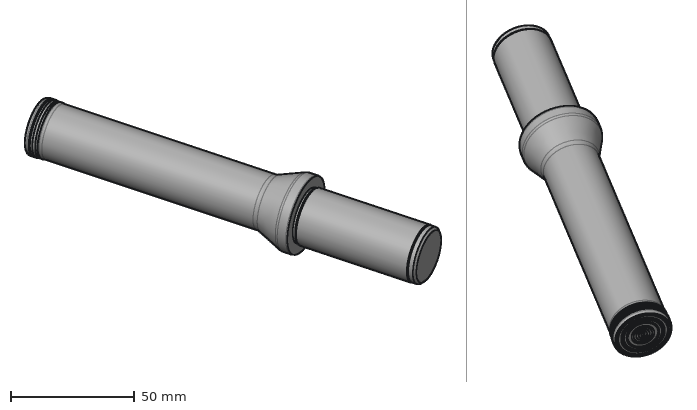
import cadquery as cq

total_length = 178.0
tip_length = 3.7

tip_radius = 25.0 / 2
shank_radius = tip_radius
land_radius = 24.5 / 2
neck_radius = 24.0 / 2
flange_radius = 34.0 / 2

tip_round_length = 1.2
tip_round_height = 0.7
tip_round_bulge = 0.2
rim_groove_start = 2.1
rim_groove_end = 2.7
rim_groove_depth = 0.2
ring_depth = 0.2
ring_grooves = [(0.7, 1.8), (2.8, 4.0), (4.8, 6.4), (7.0, 8.0), (8.7, 9.3), (10.5, 11.0)]

land_groove_start = 5.0
land_groove_end = 6.0
land_end = 6.5
neck_start = 7.8

flare_start = 104.0
flare_length = 2.1
flare_mid_drop = 0.2
cone_start_radius = 12.5
flange_start = 117.5
flange_round_length = 1.0
flange_round_height = 0.4
flange_round_bulge = 0.12
flange_end = 122.1
flange_chamfer_length = 0.7
flange_chamfer_height = 0.2

undercut_end = 123.2
undercut_taper = 0.7
end_step_start = 174.3
end_step_taper = 0.5
end_chamfer = 1.0


def revolve_about_x(profile):
    """Turn a closed half profile, drawn as (x, radius), around the X axis."""
    return profile.close().revolve(360, (0, 0, 0), (1, 0, 0))


def ring_groove(inner_radius, outer_radius):
    """Ring of material removed from the front face of the tip."""
    face = cq.Workplane("YZ").circle(outer_radius).circle(inner_radius)
    return face.extrude(ring_depth)


def make_tip():
    """Round-edged cutting disc with a rim groove and concentric grooves in its front face."""
    round_mid = (
        tip_round_length / 2 - tip_round_bulge / 2,
        tip_radius - tip_round_height / 2 + tip_round_bulge,
    )
    profile = (
        cq.Workplane("XY")
        .moveTo(0, 0)
        .lineTo(0, tip_radius - tip_round_height)
        .threePointArc(round_mid, (tip_round_length, tip_radius))
        .lineTo(rim_groove_start, tip_radius)
        .lineTo(rim_groove_start, tip_radius - rim_groove_depth)
        .lineTo(rim_groove_end, tip_radius - rim_groove_depth)
        .lineTo(rim_groove_end, tip_radius)
        .lineTo(tip_length, tip_radius)
        .lineTo(tip_length, 0)
    )
    disc = revolve_about_x(profile)
    for inner_radius, outer_radius in ring_grooves:
        disc = disc.cut(ring_groove(inner_radius, outer_radius))
    return disc


def make_holder():
    """Tool holder: grooved land, long neck, conical flange and shank."""
    cone_start = flare_start + flare_length
    flare_mid = (
        flare_start + flare_length / 2,
        (neck_radius + cone_start_radius) / 2 - flare_mid_drop,
    )
    cone_end = flange_start - flange_round_length
    round_mid = (
        flange_start - flange_round_length / 2,
        flange_radius - flange_round_height / 2 + flange_round_bulge / 2,
    )
    profile = (
        cq.Workplane("XY")
        .moveTo(tip_length, 0)
        .lineTo(tip_length, land_radius)
        .lineTo(land_groove_start, land_radius)
        .lineTo(land_groove_start, neck_radius)
        .lineTo(land_groove_end, neck_radius)
        .lineTo(land_groove_end, land_radius)
        .lineTo(land_end, land_radius)
        .lineTo(neck_start, neck_radius)
        .lineTo(flare_start, neck_radius)
        .threePointArc(flare_mid, (cone_start, cone_start_radius))
        .lineTo(cone_end, flange_radius - flange_round_height)
        .threePointArc(round_mid, (flange_start, flange_radius))
        .lineTo(flange_end - flange_chamfer_length, flange_radius)
        .lineTo(flange_end, flange_radius - flange_chamfer_height)
        .lineTo(flange_end, neck_radius)
        .lineTo(undercut_end, neck_radius)
        .lineTo(undercut_end + undercut_taper, shank_radius)
        .lineTo(end_step_start, shank_radius)
        .lineTo(end_step_start + end_step_taper, land_radius)
        .lineTo(total_length - end_chamfer, land_radius)
        .lineTo(total_length, land_radius - end_chamfer)
        .lineTo(total_length, 0)
    )
    return revolve_about_x(profile)


tip = make_tip()
holder = make_holder()

result = cq.Compound.makeCompound([tip.val(), holder.val()])